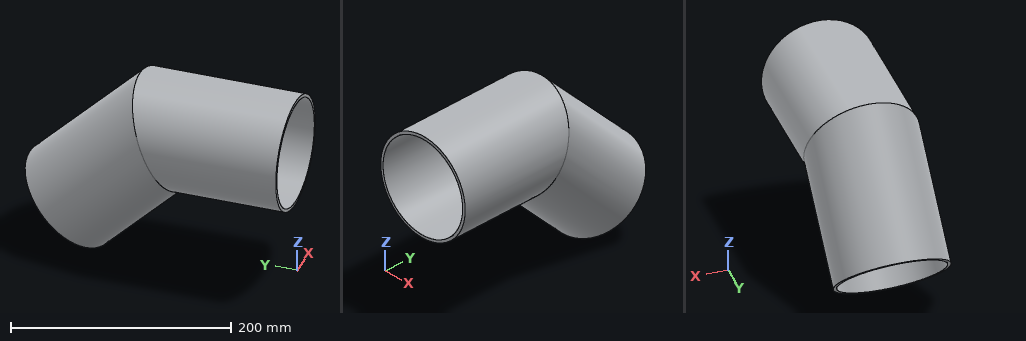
import cadquery as cq
import math

overall_length = 255.7
outer_diameter = 110.0
inner_diameter = 103.3
bend_angle = math.radians(45)

outer_radius = outer_diameter / 2
rim_overhang = outer_radius * math.sin(bend_angle)
leg_length = (overall_length - rim_overhang) / (1 + math.cos(bend_angle))

open_end = (-leg_length, 0)
mitre = (0, 0)
lower_end = (leg_length * math.cos(bend_angle), -leg_length * math.sin(bend_angle))
centre_line = cq.Workplane("YZ").polyline([open_end, mitre, lower_end])

ring = (
    cq.Workplane("XZ", origin=(0, -leg_length, 0))
    .circle(outer_radius)
    .circle(inner_diameter / 2)
)
result = ring.sweep(centre_line, transition="right")